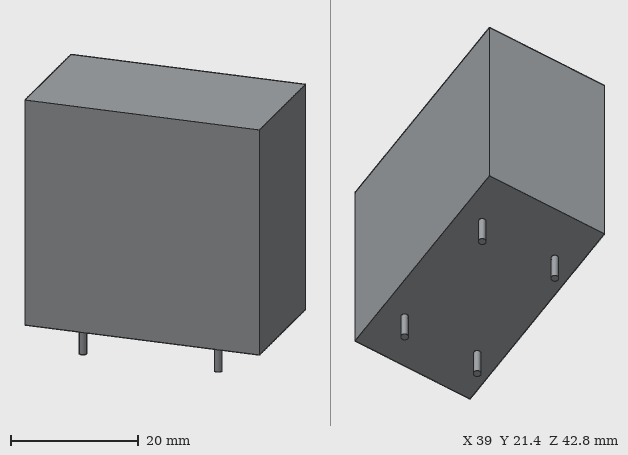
import cadquery as cq

HOUSING_LENGTH = 39.0
HOUSING_WIDTH = 21.4
TOTAL_HEIGHT = 42.8

PIN_DIAMETER = 1.2
PIN_LENGTH = 5.1
PIN_SPACING_X = 22.5
PIN_SPACING_Y = 13.5

HOUSING_HEIGHT = TOTAL_HEIGHT - PIN_LENGTH


def make_housing():
    """Plain rectangular block standing on the plane Z = 0."""
    return cq.Workplane("XY").box(
        HOUSING_LENGTH, HOUSING_WIDTH, HOUSING_HEIGHT, centered=(True, True, False)
    )


def make_pin(x, y):
    """Round pin hanging down from the underside of the housing."""
    return cq.Workplane("XY").center(x, y).circle(PIN_DIAMETER / 2).extrude(-PIN_LENGTH)


housing = make_housing()

pins = []
for side_x in (-1, 1):
    for side_y in (-1, 1):
        pins.append(make_pin(side_x * PIN_SPACING_X / 2, side_y * PIN_SPACING_Y / 2))

result = cq.Compound.makeCompound([housing.val(), *[pin.val() for pin in pins]])